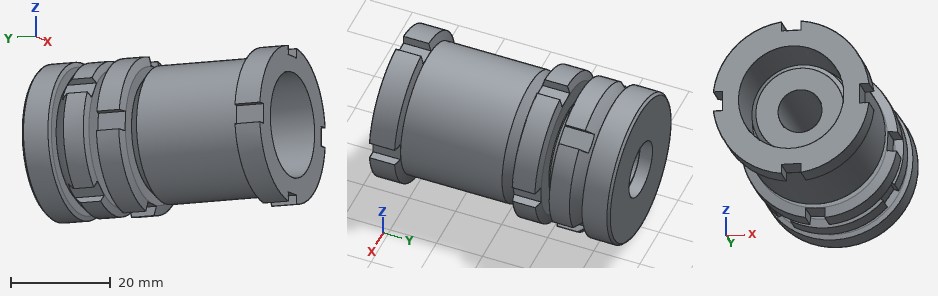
import cadquery as cq
import math


FLANGE_RADIUS = 16.0
FLANGE_HEIGHT = 6.0
BEVEL_END_RADIUS = 14.0
BEVEL_SLOPE = math.tan(math.radians(15))
NOTCH_COUNT = 4
NOTCH_WIDTH = 4.0
NOTCH_FLOOR_RADIUS = 14.0
THREAD_RADIUS = 10.0
FLANGE_BEVEL = (FLANGE_RADIUS - BEVEL_END_RADIUS) * BEVEL_SLOPE

SLEEVE_RADIUS = BEVEL_END_RADIUS
SLEEVE_LENGTH = 30.0
SLEEVE_CHAMFER = 2.0
COUNTERBORE_RADIUS = 10.75
COUNTERBORE_DEPTH = SLEEVE_LENGTH / 2

RING_START = 30.45
RING_END = RING_START + FLANGE_HEIGHT
RING_TURN = 3.2

SPINDLE_START = 9.75
SPINDLE_CHAMFER = 1.0
SPINDLE_BORE_RADIUS = 4.45
SPINDLE_TURN = 35.4
THREAD_END = 36.75
NECK_RADIUS = 9.2
NECK_FILLET = 0.65
RUNOUT_ANGLE = math.radians(45)
HEAD_RADIUS = 15.7
HEAD_START = 38.45
HEAD_RIM_END = 43.3
BALL_RADIUS = 20.5
BALL_CENTER = HEAD_RIM_END - math.sqrt(BALL_RADIUS**2 - HEAD_RADIUS**2)

PAD_RADIUS = 16.0
PAD_START = 46.2
PAD_END = 52.4
PAD_TOP_CHAMFER = 0.5
PAD_BEVEL_WIDTH = 1.0
PAD_BEVEL = PAD_BEVEL_WIDTH * BEVEL_SLOPE
PAD_HOLE_RADIUS = 6.0
PAD_TILT = 0.8
PAD_LEAN_TURN = -22.0


def ball_height(radius):
    """Y of the ball surface at a distance from the Y axis."""
    return BALL_CENTER + math.sqrt(BALL_RADIUS**2 - radius**2)


def ball_point(outer_radius, inner_radius):
    """Point on the ball surface midway between two radii."""
    radius = (outer_radius + inner_radius) / 2
    return (radius, ball_height(radius))


def turn(profile):
    """Revolve a closed (radius, Y) profile about the Y axis."""
    return profile.close().revolve(360, (0, 0, 0), (0, 1, 0))


def about_axis(body, angle):
    """Turn a body about the Y axis."""
    return body.rotate((0, 0, 0), (0, 1, 0), angle)


def cut_notches(body, start, end):
    """Cut the spanner notches into a rim between two Y positions."""
    depth = FLANGE_RADIUS - NOTCH_FLOOR_RADIUS
    notch = cq.Workplane("XY").box(NOTCH_WIDTH, end - start, 2 * depth).translate(
        (0, (start + end) / 2, NOTCH_FLOOR_RADIUS + depth)
    )
    for index in range(NOTCH_COUNT):
        body = body.cut(about_axis(notch, index * 360 / NOTCH_COUNT))
    return body


def make_sleeve():
    """Flanged sleeve with a counterbore below its thread."""
    profile = cq.Workplane("XY").polyline([
        (COUNTERBORE_RADIUS, 0),
        (FLANGE_RADIUS, 0),
        (FLANGE_RADIUS, FLANGE_HEIGHT - FLANGE_BEVEL),
        (BEVEL_END_RADIUS, FLANGE_HEIGHT),
        (SLEEVE_RADIUS, SLEEVE_LENGTH - SLEEVE_CHAMFER),
        (SLEEVE_RADIUS - SLEEVE_CHAMFER, SLEEVE_LENGTH),
        (THREAD_RADIUS, SLEEVE_LENGTH),
        (THREAD_RADIUS, COUNTERBORE_DEPTH),
        (COUNTERBORE_RADIUS, COUNTERBORE_DEPTH),
    ])
    return cut_notches(turn(profile), 0, FLANGE_HEIGHT)


def make_lock_ring():
    """Notched ring, bevelled on both faces, on the spindle thread."""
    profile = cq.Workplane("XY").polyline([
        (THREAD_RADIUS, RING_START),
        (BEVEL_END_RADIUS, RING_START),
        (FLANGE_RADIUS, RING_START + FLANGE_BEVEL),
        (FLANGE_RADIUS, RING_END - FLANGE_BEVEL),
        (BEVEL_END_RADIUS, RING_END),
        (THREAD_RADIUS, RING_END),
    ])
    return about_axis(cut_notches(turn(profile), RING_START, RING_END), RING_TURN)


def make_spindle():
    """Hollow threaded spindle with a necked, notched ball head."""
    head_bevel = (HEAD_RADIUS - BEVEL_END_RADIUS) * BEVEL_SLOPE
    neck_corner = THREAD_END + (THREAD_RADIUS - NECK_RADIUS) / math.tan(RUNOUT_ANGLE)
    tangent_length = NECK_FILLET * math.tan(RUNOUT_ANGLE / 2)
    arc_start = (
        NECK_RADIUS + tangent_length * math.sin(RUNOUT_ANGLE),
        neck_corner - tangent_length * math.cos(RUNOUT_ANGLE),
    )
    arc_end = (NECK_RADIUS, neck_corner + tangent_length)
    arc_middle = (
        NECK_RADIUS + NECK_FILLET * (1 - math.cos(RUNOUT_ANGLE / 2)),
        neck_corner + tangent_length - NECK_FILLET * math.sin(RUNOUT_ANGLE / 2),
    )
    profile = (
        cq.Workplane("XY")
        .moveTo(SPINDLE_BORE_RADIUS, SPINDLE_START)
        .lineTo(THREAD_RADIUS - SPINDLE_CHAMFER, SPINDLE_START)
        .lineTo(THREAD_RADIUS, SPINDLE_START + SPINDLE_CHAMFER)
        .lineTo(THREAD_RADIUS, THREAD_END)
        .lineTo(*arc_start)
        .threePointArc(arc_middle, arc_end)
        .lineTo(NECK_RADIUS, HEAD_START)
        .lineTo(BEVEL_END_RADIUS, HEAD_START)
        .lineTo(HEAD_RADIUS, HEAD_START + head_bevel)
        .lineTo(HEAD_RADIUS, HEAD_RIM_END)
        .threePointArc(
            ball_point(HEAD_RADIUS, SPINDLE_BORE_RADIUS),
            (SPINDLE_BORE_RADIUS, ball_height(SPINDLE_BORE_RADIUS)),
        )
    )
    return about_axis(cut_notches(turn(profile), HEAD_START, PAD_START), SPINDLE_TURN)


def make_pad():
    """Pad with a spherical seat, tilted about the ball centre."""
    seat_radius = math.sqrt(BALL_RADIUS**2 - (PAD_START - BALL_CENTER) ** 2)
    profile = (
        cq.Workplane("XY")
        .moveTo(PAD_HOLE_RADIUS, ball_height(PAD_HOLE_RADIUS))
        .threePointArc(ball_point(seat_radius, PAD_HOLE_RADIUS), (seat_radius, PAD_START))
        .lineTo(PAD_RADIUS - PAD_BEVEL_WIDTH, PAD_START)
        .lineTo(PAD_RADIUS, PAD_START + PAD_BEVEL)
        .lineTo(PAD_RADIUS, PAD_END - PAD_TOP_CHAMFER)
        .lineTo(PAD_RADIUS - PAD_TOP_CHAMFER, PAD_END)
        .lineTo(PAD_HOLE_RADIUS, PAD_END)
    )
    tilted = turn(profile).rotate((0, BALL_CENTER, 0), (0, BALL_CENTER, 1), -PAD_TILT)
    return about_axis(tilted, PAD_LEAN_TURN)


sleeve = make_sleeve()
lock_ring = make_lock_ring()
spindle = make_spindle()
pad = make_pad()

result = cq.Compound.makeCompound([sleeve.val(), lock_ring.val(), spindle.val(), pad.val()])